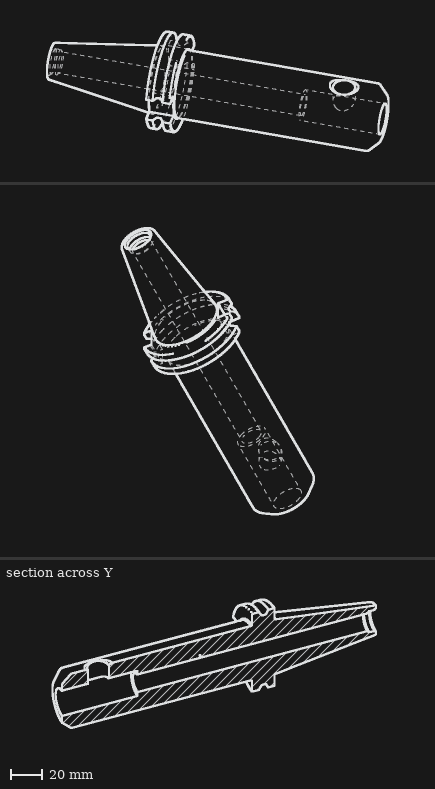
import cadquery as cq
import math

length = 220.6
body_diameter = 44.4
body_radius = body_diameter / 2
taper_length = 69.5
taper_ratio = 7 / 24
taper_end_radius = body_radius - taper_length * taper_ratio / 2
taper_end_fillet = 1.0
nose_chamfer = 6.5
nose_blend = 1.5

flange_start = 71.3
flange_end = 87.4
flange_diameter = 63.3
flange_radius = flange_diameter / 2
flange_edge_fillet = 0.7
flange_root_fillet = 0.7

groove_center = 79.0
groove_floor_radius = 28.2
groove_mouth_width = 6.6
groove_half_angle = 30
groove_fillet = 1.0

slot_width = 16.5
slot_floor_back = 25.0
slot_floor_front = 22.7

through_diameter = 14.0
pilot_diameter = 16.5
pilot_mouth_diameter = 19.0
pilot_mouth_depth = 1.3
pilot_depth = 4.9
tool_bore_diameter = 20.0
tool_bore_depth = 53.0

screw_x = 195.0
screw_diameter = 14.3
screw_mouth_diameter = 18.8
screw_mouth_depth = 1.21


def revolve_about_x(points):
    return cq.Workplane("XY").polyline(points).close().revolve(360, (0, 0, 0), (1, 0, 0))


def circle_edges_at(x, radius):
    """Selector box holding only the circular edge of this radius at this X."""
    margin = 0.1
    reach = radius + margin
    return cq.selectors.BoxSelector((x - margin, -reach, -reach), (x + margin, reach, reach), boundingbox=True)


def make_body():
    groove_half_mouth = groove_mouth_width / 2
    groove_depth = flange_radius - groove_floor_radius
    groove_half_floor = groove_half_mouth - groove_depth * math.tan(math.radians(groove_half_angle))
    nose_start = length - nose_chamfer
    nose_radius = body_radius - nose_chamfer
    body = revolve_about_x([
        (0, 0),
        (0, taper_end_radius),
        (taper_length, body_radius),
        (flange_start, body_radius),
        (flange_start, flange_radius),
        (groove_center - groove_half_mouth, flange_radius),
        (groove_center - groove_half_floor, groove_floor_radius),
        (groove_center + groove_half_floor, groove_floor_radius),
        (groove_center + groove_half_mouth, flange_radius),
        (flange_end, flange_radius),
        (flange_end, body_radius),
        (nose_start, body_radius),
        (length, nose_radius),
        (length, 0),
    ])
    rounded_edges = [
        (0, taper_end_radius, taper_end_fillet),
        (flange_start, body_radius, flange_root_fillet),
        (flange_end, body_radius, flange_root_fillet),
        (flange_start, flange_radius, flange_edge_fillet),
        (flange_end, flange_radius, flange_edge_fillet),
        (groove_center - groove_half_floor, groove_floor_radius, groove_fillet),
        (groove_center + groove_half_floor, groove_floor_radius, groove_fillet),
        (nose_start, body_radius, nose_blend),
        (length, nose_radius, nose_blend),
    ]
    for x, radius, fillet in rounded_edges:
        body = body.edges(circle_edges_at(x, radius)).fillet(fillet)
    return body


def drive_slot(floor, side):
    """Slot open along X; side is +1 for +Y and -1 for -Y."""
    slot_depth = flange_radius - floor
    return cq.Workplane("XY").box(flange_end - flange_start, slot_depth, slot_width).translate(
        ((flange_start + flange_end) / 2, side * (floor + slot_depth / 2), 0)
    )


def axial_bores():
    through_radius = through_diameter / 2
    pilot_radius = pilot_diameter / 2
    tool_radius = tool_bore_diameter / 2
    pilot_cone_end = pilot_depth + pilot_radius - through_radius
    tool_bore_start = length - tool_bore_depth
    return revolve_about_x([
        (0, 0),
        (0, pilot_mouth_diameter / 2),
        (pilot_mouth_depth, pilot_radius),
        (pilot_depth, pilot_radius),
        (pilot_cone_end, through_radius),
        (tool_bore_start, through_radius),
        (tool_bore_start, tool_radius),
        (length, tool_radius),
        (length, 0),
    ])


def screw_hole():
    """Radial hole from the +Z side down to the tool bore, with a shallow conical mouth."""
    hole_radius = screw_diameter / 2
    mouth_radius = screw_mouth_diameter / 2
    profile = [
        (0, 0),
        (hole_radius, 0),
        (hole_radius, body_radius - screw_mouth_depth),
        (mouth_radius, body_radius),
        (0, body_radius),
    ]
    hole = cq.Workplane("XZ").polyline(profile).close().revolve(360, (0, 0, 0), (0, 1, 0))
    return hole.translate((screw_x, 0, 0))


result = (
    make_body()
    .cut(drive_slot(slot_floor_back, 1))
    .cut(drive_slot(slot_floor_front, -1))
    .cut(axial_bores())
    .cut(screw_hole())
)